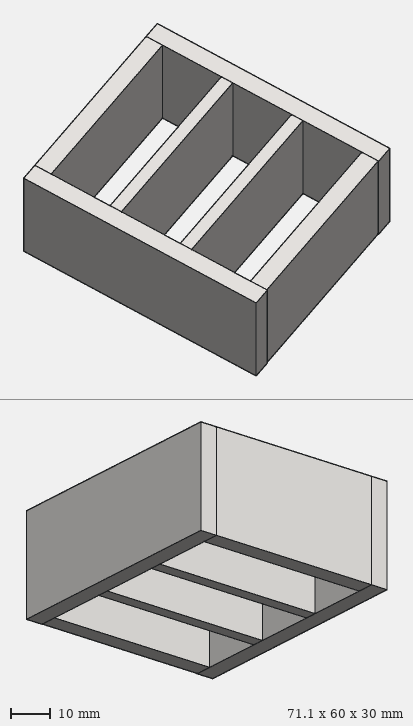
import cadquery as cq

LENGTH = 71.1
WIDTH = 60.0
HEIGHT = 30.0

INNER_WIDTH = 50.0

WALL = (WIDTH - INNER_WIDTH) / 2
DIVIDER = 3.5

BAY = 18.0

LEFT_FACE = -LENGTH / 2

FIRST_DIVIDER_X = LEFT_FACE + WALL + BAY
PITCH = DIVIDER + BAY
RIGHT_WALL_X = FIRST_DIVIDER_X + 2 * PITCH


def board(size_x, size_y, left_x, front_y):
    """Full-height upright board with its lower left front corner at Z = 0."""
    return (
        cq.Workplane("XY")
        .box(size_x, size_y, HEIGHT, centered=False)
        .translate((left_x, front_y, 0))
    )


def long_wall(front_y):
    """Front or back wall, running the whole length."""
    return board(LENGTH, WALL, LEFT_FACE, front_y)


def end_wall(left_x):
    """Thick cross board closing one end of the frame."""
    return board(WALL, INNER_WIDTH, left_x, -INNER_WIDTH / 2)


def divider(left_x):
    """Thin cross board separating two bays."""
    return board(DIVIDER, INNER_WIDTH, left_x, -INNER_WIDTH / 2)


long_walls = [long_wall(front_y).val() for front_y in (-WIDTH / 2, INNER_WIDTH / 2)]
end_walls = [end_wall(left_x).val() for left_x in (LEFT_FACE, RIGHT_WALL_X)]
dividers = [divider(FIRST_DIVIDER_X + i * PITCH).val() for i in range(2)]

result = cq.Compound.makeCompound([*long_walls, *end_walls, *dividers])